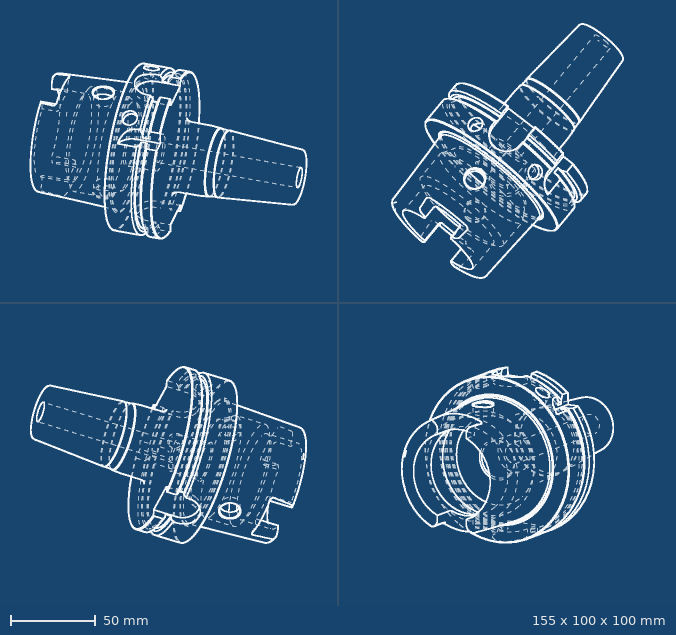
import cadquery as cq
import math

total_length = 155.0

shank_end_radius = 35.5
taper_end_radius = 37.7
taper_length = 47.3
shank_edge_radius = 2.0
relief_radius = 37.5
relief_start = 48.2
relief_end = 49.1
face_groove_outer_radius = 39.4
face_groove_floor_outer = 38.8
face_groove_floor_inner = 38.1
face_groove_depth = 0.8

flange_radius = 100.0 / 2
flange_start = 50.0
flange_end = 79.0
flange_chamfer = 0.5
groove_floor_radius = 45.9
groove_kink_radius = 47.7
groove_start = 66.6
groove_end = 72.8
groove_flank_angle = math.radians(30)

nose_radius = 42.0 / 2
nose_root_fillet = 6.0
nose_cone_start = 97.5
nose_cone_angle = math.radians(4.5)
nose_tip_fillet = 1.7
band_start = 102.9
band_end = 108.7
band_depth = 0.23
band_edge_length = 0.5

mouth_radius = 53.0 / 2
mouth_depth = 19.5
undercut_radius = 63.0 / 2
undercut_angle = math.radians(60)
undercut_end = 40.5
throat_radius = 26.8
throat_angle = math.radians(30)
cavity_depth = 50.5
cavity_floor_fillet = 2.0
coolant_chamfer_radius = 12.1
coolant_radius = 22.3 / 2
coolant_depth = 18.6
tool_bore_radius = 12.0 / 2

drive_half_width = 9.9
drive_flare_start = 27.1
drive_flare_radius = 5.3
drive_floor_fillet = 3.0 / 2
upper_drive_depth = 9.9
lower_drive_depth = 14.9

cross_hole_x = 34.7
cross_hole_diameter = 12.0
cross_hole_chamfer = 0.5

key_width = 19.8
key_center_x = 64.6
key_floor = 44.0
key_draft = 4.0
notch_floor = 31.5

rim_hole_x = 58.7
rim_hole_diameter = 9.0
drilled_hole_angle = 32.0
drilled_hole_depth = 5.0
drill_point_angle = math.radians(118)
flat_hole_angle = -22.0
flat_hole_depth = 5.6
trough_diameter = 5.0
trough_offset = 3.1
trough_rise = 1.0

clearance = 15.5


def nose_cone_radius(x):
    """Radius of the nose cone at a position along the axis."""
    return nose_radius - (x - nose_cone_start) * math.tan(nose_cone_angle)


def turned_body():
    """Solid outer shape, revolved from its half outline."""
    flank = (flange_radius - groove_kink_radius) * math.tan(groove_flank_angle)
    face_groove_floor = flange_start + face_groove_depth
    band_floor_start = band_start + band_edge_length
    band_floor_end = band_end - band_edge_length
    outline = (
        cq.Workplane("XY")
        .moveTo(0, 0)
        .lineTo(0, shank_end_radius)
        .lineTo(taper_length, taper_end_radius)
        .lineTo(relief_start, relief_radius)
        .lineTo(relief_end, relief_radius)
        .lineTo(face_groove_floor, face_groove_floor_inner)
        .lineTo(face_groove_floor, face_groove_floor_outer)
        .lineTo(flange_start, face_groove_outer_radius)
        .lineTo(flange_start, flange_radius - flange_chamfer)
        .lineTo(flange_start + flange_chamfer, flange_radius)
        .lineTo(groove_start, flange_radius)
        .lineTo(groove_start + flank, groove_kink_radius)
        .lineTo(groove_start + flank, groove_floor_radius)
        .lineTo(groove_end - flank, groove_floor_radius)
        .lineTo(groove_end - flank, groove_kink_radius)
        .lineTo(groove_end, flange_radius)
        .lineTo(flange_end - flange_chamfer, flange_radius)
        .lineTo(flange_end, flange_radius - flange_chamfer)
        .lineTo(flange_end, nose_radius + nose_root_fillet)
        .radiusArc((flange_end + nose_root_fillet, nose_radius), -nose_root_fillet)
        .lineTo(nose_cone_start, nose_radius)
        .lineTo(band_start, nose_cone_radius(band_start))
        .lineTo(band_floor_start, nose_cone_radius(band_floor_start) - band_depth)
        .lineTo(band_floor_end, nose_cone_radius(band_floor_end) - band_depth)
        .lineTo(band_end, nose_cone_radius(band_end))
        .lineTo(total_length, nose_cone_radius(total_length))
        .lineTo(total_length, 0)
        .close()
    )
    body = outline.revolve(360, (0, 0, 0), (1, 0, 0))
    body = body.faces("<X").edges().fillet(shank_edge_radius)
    return body.faces(">X").edges().fillet(nose_tip_fillet)


def cavity():
    """Clamping cavity, coolant-tube bore and tool bore as one cutter."""
    cone_length = (undercut_radius - mouth_radius) / math.tan(undercut_angle)
    throat_length = (undercut_radius - throat_radius) / math.tan(throat_angle)
    chamfer = coolant_chamfer_radius - coolant_radius
    return (
        cq.Workplane("XY")
        .moveTo(0, 0)
        .lineTo(0, mouth_radius)
        .lineTo(mouth_depth, mouth_radius)
        .lineTo(mouth_depth + cone_length, undercut_radius)
        .lineTo(undercut_end, undercut_radius)
        .lineTo(undercut_end + throat_length, throat_radius)
        .lineTo(cavity_depth - cavity_floor_fillet, throat_radius)
        .radiusArc((cavity_depth, throat_radius - cavity_floor_fillet), cavity_floor_fillet)
        .lineTo(cavity_depth, coolant_chamfer_radius)
        .lineTo(cavity_depth + chamfer, coolant_radius)
        .lineTo(cavity_depth + coolant_depth, coolant_radius)
        .lineTo(cavity_depth + coolant_depth, tool_bore_radius)
        .lineTo(total_length, tool_bore_radius)
        .lineTo(total_length, 0)
        .close()
        .revolve(360, (0, 0, 0), (1, 0, 0))
    )


def drive_slot(depth):
    """Cutter for a drive slot on the +Z side, its walls flaring outward to the rim."""
    inner = mouth_radius - clearance
    outer = shank_end_radius + clearance
    flare_end = drive_flare_start + drive_flare_radius
    flare_half_width = drive_half_width + drive_flare_radius
    side = flare_half_width + clearance
    slot = (
        cq.Workplane("YZ")
        .moveTo(-drive_half_width, inner)
        .lineTo(-drive_half_width, drive_flare_start)
        .radiusArc((-flare_half_width, flare_end), -drive_flare_radius)
        .lineTo(-side, flare_end)
        .lineTo(-side, outer)
        .lineTo(side, outer)
        .lineTo(side, flare_end)
        .lineTo(flare_half_width, flare_end)
        .radiusArc((drive_half_width, drive_flare_start), -drive_flare_radius)
        .lineTo(drive_half_width, inner)
        .close()
        .extrude(depth)
    )
    return slot.faces(">X").edges().fillet(drive_floor_fillet)


def cross_hole():
    """Hole through both walls of the shank, with a small chamfer on the outside."""
    hole_radius = cross_hole_diameter / 2
    taper_slope = (taper_end_radius - shank_end_radius) / taper_length
    wall_radius = shank_end_radius + cross_hole_x * taper_slope
    rim_radius = hole_radius + cross_hole_chamfer
    half_outline = (
        cq.Workplane("XZ")
        .moveTo(0, 0)
        .lineTo(hole_radius, 0)
        .lineTo(hole_radius, wall_radius - 2 * cross_hole_chamfer)
        .lineTo(rim_radius, wall_radius - cross_hole_chamfer)
        .lineTo(rim_radius, wall_radius + clearance)
        .lineTo(0, wall_radius + clearance)
        .close()
    )
    upper = half_outline.revolve(360, (0, 0, 0), (0, 1, 0)).translate((cross_hole_x, 0, 0))
    return upper.union(upper.mirror("XY"))


def keyway(center_y, floor, draft=0):
    """Round-ended slot cutter, open toward the nose, with a flat floor facing +Z.

    The walls lean outward by the draft angle in degrees.
    """
    length = flange_end + clearance - key_center_x
    height = flange_radius + clearance - floor
    half_width = key_width / 2
    return (
        cq.Workplane("XY", origin=(key_center_x, center_y, floor))
        .moveTo(length, -half_width)
        .lineTo(length, half_width)
        .lineTo(0, half_width)
        .threePointArc((-half_width, 0), (0, -half_width))
        .close()
        .extrude(height, taper=-draft)
    )


def rim_hole(angle, depth, point_length):
    """Radial blind hole in the flange rim, tilted from +Z toward -Y by the angle."""
    radius = rim_hole_diameter / 2
    bottom = flange_radius - depth
    hole = (
        cq.Workplane("XZ")
        .moveTo(0, bottom - point_length)
        .lineTo(radius, bottom)
        .lineTo(radius, flange_radius + clearance)
        .lineTo(0, flange_radius + clearance)
        .close()
        .revolve(360, (0, 0, 0), (0, 1, 0))
    )
    return hole.rotate((0, 0, 0), (1, 0, 0), angle).translate((rim_hole_x, 0, 0))


def floor_trough():
    """Round-bottomed trough across the floor of the flat-bottomed hole, kept inside its wall."""
    floor = flange_radius - flat_hole_depth
    trough = (
        cq.Workplane("XZ")
        .center(trough_offset, floor + trough_rise)
        .circle(trough_diameter / 2)
        .extrude(rim_hole_diameter / 2, both=True)
    )
    wall = (
        cq.Workplane("XY", origin=(0, 0, floor))
        .circle(rim_hole_diameter / 2)
        .extrude(trough_diameter, both=True)
    )
    trough = trough.intersect(wall)
    return trough.rotate((0, 0, 0), (1, 0, 0), flat_hole_angle).translate((rim_hole_x, 0, 0))


result = turned_body().cut(cavity())

result = result.cut(drive_slot(upper_drive_depth))
result = result.cut(drive_slot(lower_drive_depth).mirror("XY"))

result = result.cut(cross_hole())

top_keyway = keyway(0, key_floor, key_draft)
result = result.cut(top_keyway).cut(top_keyway.mirror("XY"))
result = result.cut(keyway(-notch_floor - key_width / 2, notch_floor))

drill_point = rim_hole_diameter / 2 / math.tan(drill_point_angle / 2)
result = result.cut(rim_hole(drilled_hole_angle, drilled_hole_depth, drill_point))
result = result.cut(rim_hole(flat_hole_angle, flat_hole_depth, 0))
result = result.cut(floor_trough())